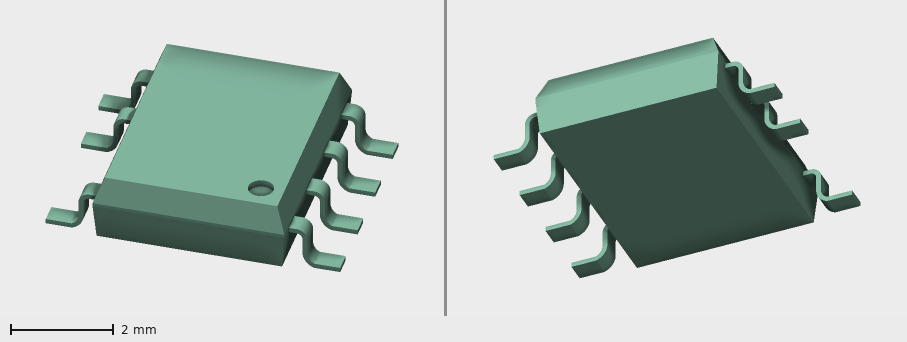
import cadquery as cq

lead_span = 5.94
total_height = 1.45

body_width = 3.87
body_length = 4.9
body_bottom = 0.105
band_bottom = 0.87
band_top = 0.93
top_inset = 0.195
bottom_inset = 0.065

lead_pitch = 1.27
lead_rows_shift = -0.01
lead_width = 0.405
lead_thickness = 0.1
leg_offset = 0.66
foot_length = 0.52
foot_bend_height = 0.32
shoulder_inner_radius = 0.125
lead_embed = 0.295
right_lead_rows = (-1.5, -0.5, 0.5, 1.5)
left_lead_rows = (-1.5, 0.5, 1.5)

mark_diameter = 0.51
mark_depth = 0.15
mark_x = 1.28
mark_y = -1.775


def body_section(z, inset):
    """Closed rectangular wire of the body at height z, shrunk by inset on each side."""
    section = cq.Workplane("XY", origin=(0, 0, z))
    return section.rect(body_width - 2 * inset, body_length - 2 * inset).wires().val()


def body_layer(lower, upper):
    """Straight-sided layer of the body between two sections."""
    return cq.Workplane(obj=cq.Solid.makeLoft([lower, upper], True))


def make_body():
    bottom = body_section(body_bottom, bottom_inset)
    band_start = body_section(band_bottom, 0)
    band_end = body_section(band_top, 0)
    top = body_section(total_height, top_inset)
    body = body_layer(bottom, band_start)
    body = body.union(body_layer(band_start, band_end))
    return body.union(body_layer(band_end, top))


def foot_bend_radius(run, rise):
    """Radius of an arc that is tangent to the upright leg and spans run and rise."""
    return (run ** 2 + rise ** 2) / (2 * run)


def make_right_lead():
    """Lead on the +X side, centred on Y = 0."""
    tip_x = lead_span / 2
    foot_x = tip_x - foot_length
    leg_outer_x = tip_x - leg_offset
    leg_inner_x = leg_outer_x - lead_thickness
    buried_x = body_width / 2 - lead_embed

    shoulder_outer_radius = shoulder_inner_radius + lead_thickness
    shoulder_x = leg_inner_x - shoulder_inner_radius
    shoulder_z = band_bottom - shoulder_outer_radius
    shelf_bottom = band_bottom - lead_thickness

    inside_radius = foot_bend_radius(foot_x - leg_outer_x, foot_bend_height - lead_thickness)
    outside_radius = foot_bend_radius(foot_x - leg_inner_x, foot_bend_height)

    profile = (
        cq.Workplane("XZ", origin=(0, lead_width / 2, 0))
        .moveTo(buried_x, band_bottom)
        .lineTo(shoulder_x, band_bottom)
        .radiusArc((leg_outer_x, shoulder_z), shoulder_outer_radius)
        .lineTo(leg_outer_x, foot_bend_height)
        .radiusArc((foot_x, lead_thickness), -inside_radius)
        .lineTo(tip_x, lead_thickness)
        .lineTo(tip_x, 0)
        .lineTo(foot_x, 0)
        .radiusArc((leg_inner_x, foot_bend_height), outside_radius)
        .lineTo(leg_inner_x, shoulder_z)
        .radiusArc((shoulder_x, shelf_bottom), -shoulder_inner_radius)
        .lineTo(buried_x, shelf_bottom)
        .close()
    )
    return profile.extrude(lead_width)


def make_pin_mark():
    mark = cq.Workplane("XY", origin=(mark_x, mark_y, total_height))
    return mark.circle(mark_diameter / 2).extrude(-mark_depth)


result = make_body()
right_lead = make_right_lead()
left_lead = right_lead.mirror("YZ")
for lead, rows in ((right_lead, right_lead_rows), (left_lead, left_lead_rows)):
    for row in rows:
        lead_y = row * lead_pitch + lead_rows_shift
        result = result.union(lead.translate((0, lead_y, 0)))
result = result.cut(make_pin_mark())